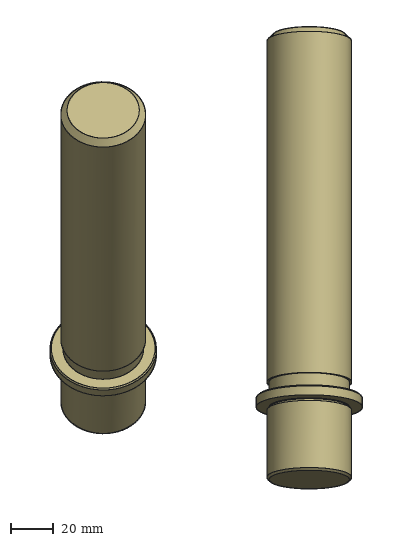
import cadquery as cq

total_length = 215.0
shank_length = 35.0
collar_thickness = 5.0
neck_top = 47.0

tip_chamfer_height = 3.0
tip_chamfer_width = 3.0
shank_chamfer = 1.0
collar_chamfer = 0.6
relief_height = 0.5

pin_diameter = 40.0
collar_diameter = 50.0
neck_diameter = 38.0
relief_diameter = pin_diameter - 2 * shank_chamfer

collar_top = shank_length + collar_thickness


def cylinder(diameter, bottom, top):
    """Solid cylinder on the Z axis between two heights."""
    return cq.Workplane("XY").workplane(offset=bottom).circle(diameter / 2).extrude(top - bottom)


shank = cylinder(pin_diameter, 0, shank_length - relief_height).faces("<Z or >Z").chamfer(shank_chamfer)

relief = cylinder(relief_diameter, shank_length - relief_height, shank_length)
neck = cylinder(neck_diameter, collar_top, neck_top)

collar = cylinder(collar_diameter, shank_length, collar_top).faces(">Z").chamfer(collar_chamfer)

pin = cylinder(pin_diameter, neck_top, total_length)
pin = pin.faces(">Z").chamfer(tip_chamfer_height, tip_chamfer_width)

result = shank.union(relief).union(collar).union(neck).union(pin)